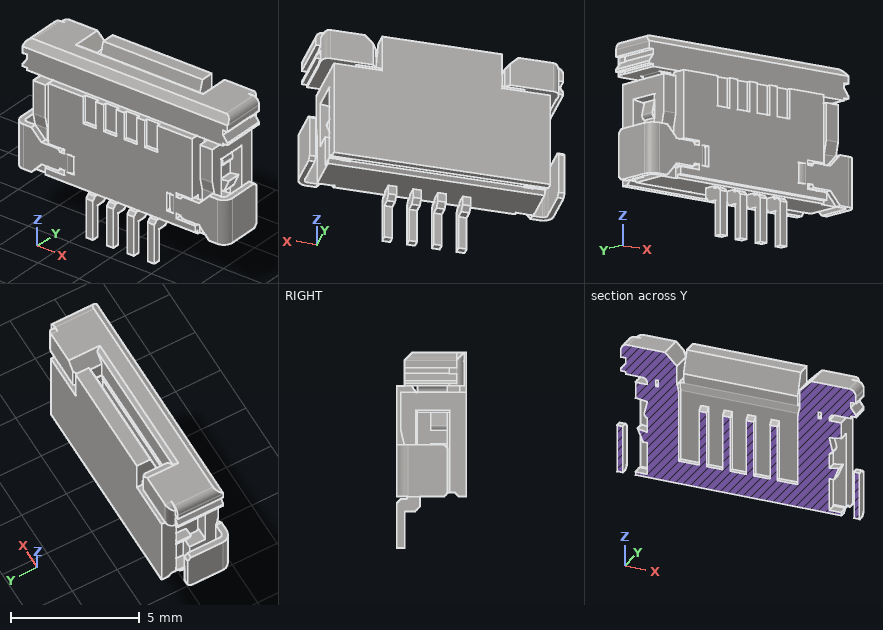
import cadquery as cq


DEPTH = 2.7
PIN_DROP = 2.0
TOP_Z = 5.6
OVERLAP = 0.3

PITCH = 1.0
PIN_COUNT = 4
PIN_WIDTH = 0.33
PIN_BACK_Y = 0.91
PIN_KNEE_Z = -0.58
PIN_KNEE_CHAMFER = 0.2
PIN_THICKNESS = 0.32
PIN_SHOULDER_Z = -0.09
PIN_SHOULDER_Y = 0.38
PIN_ROOT_Y = 0.43
PIN_BEND_CHAMFER = 0.15
CONTACT_TOP_Z = 3.5
CONTACT_REACH = 0.17

SHOULDER_HALF = 4.37
SHOULDER_TOP_Z = 4.05
SHOULDER_FRONT_Y = 0.16
SHOULDER_FOOT_Y = 0.29
SHOULDER_SLOPE_TOP_Z = 2.57
SHOULDER_SLOPE_BOTTOM_Z = 2.02
PLATE_HALF = 3.5
PLATE_BACK_Y = 0.75
PLATE_TOP_Y = 0.59
PLATE_FOOT_HALF = 3.66
PLATE_FOOT_Z = 0.13
FOOT_SETBACK = 0.17
SLOT_OUTER_HALF = 3.77
GROOVE_WIDTH = 0.62
GROOVE_DEPTH = 0.15
GROOVE_BOTTOM_Z = 3.1
RIM_HALF = 3.4
RIM_BACK_Y = 2.45
WINDOW_FRONT_Y = 0.74
WINDOW_BACK_Y = 2.05
ARCH_HEIGHT = 0.155
WINDOW_BOTTOM_Z = ARCH_HEIGHT
WINDOW_TOP_Z = 3.35
WINDOW_INNER_TOP_Z = 3.28
LEDGE_BACK_Y = 1.45
LEDGE_TOP_Z = 1.43
ARCH_BACK_Y = 2.41
ARCH_FRONT_Y = 1.84

TONGUE_HALF = 2.42
TONGUE_TOP_Y = 2.1
TONGUE_FRONT_Y = 1.8
TONGUE_SLOPE_BOTTOM_Z = 4.7
CAVITY_HALF = 2.52
CAVITY_FRONT_Y = 1.42
CAVITY_FLARE = 0.06
CAVITY_BACK_Y = TONGUE_FRONT_Y - CAVITY_FLARE
CAVITY_FLARE_BOTTOM_Z = 4.0
CAVITY_FLOOR_Z = 1.0

SLIDER_HALF = 5.0
SLIDER_BOTTOM_Z = 4.3
SLIDER_FRONT_Y = 0.3
SLIDER_STEP_Y = 2.33
SLIDER_BACK_Y = 2.62
SLIDER_EDGE = 0.3
SLIDER_REAR_HALF = 4.8
GRIP_HALF = 4.78
GRIP_TOP_Z = 5.0
GRIP_RAMP_TOP_Z = 4.8
GRIP_RAMP_BOTTOM_Z = 4.5
GRIP_LIP_Z = 4.4
NOTCH_TOP_HALF = 3.1
NOTCH_HALF = 2.6
NOTCH_LIP_Y = 1.23
NOTCH_LIP_DROP = 0.12

ARM_HALF = 3.87
ARM_FRONT_Y = 0.8
ARM_BACK_Y = 1.96
ARM_ROOT_RADIUS = 0.2
LATCH_FRONT_Y = 1.33
LATCH_TOP_Z = 2.05
LATCH_ROOT_Z = 1.98
LATCH_BOTTOM_Z = 1.5
LATCH_REACH = 0.42
LATCH_FOOT_REACH = 0.18
BUMP_TOP_Z = 3.3
BUMP_CREST_Z = 2.77
BUMP_BOTTOM_Z = 2.57
BUMP_REACH = 0.13

CLIP_HALF = 5.15
CLIP_THICKNESS = 0.25
CLIP_TOP_Z = 2.02
CLIP_BACK_Y = 1.98
CLIP_RADIUS = 0.42
CLIP_BACK_CHAMFER = 0.15
CLIP_FLARE_OUTER_HALF = 4.33
CLIP_FLARE_INNER_HALF = 3.84
CLIP_ARM_TOP_Z = 1.52
CLIP_ARM_BOTTOM_Z = 0.53
CLIP_NECK_OUTER_HALF = 3.02
CLIP_NECK_INNER_HALF = 2.94
CLIP_NECK_INSET = 0.12
POCKET_INNER_HALF = 2.72
POCKET_TOP_Z = 1.58
POCKET_BOTTOM_Z = 0.43
POCKET_DEPTH = 0.4
PEEP_OUTER_HALF = 2.58
PEEP_INNER_HALF = 2.26
PEEP_TOP_Z = 1.43
PEEP_BOTTOM_Z = 0.62

CONTACT_X = [(i - (PIN_COUNT - 1) / 2) * PITCH for i in range(PIN_COUNT)]


def box(x0, x1, y0, y1, z0, z1):
    return cq.Workplane("XY").box(x1 - x0, y1 - y0, z1 - z0, centered=False).translate((x0, y0, z0))


def centered_box(half, y0, y1, z0, z1):
    return box(-half, half, y0, y1, z0, z1)


def side_profile(points, x0, x1):
    """Prism along X from a list of (y, z) points."""
    return cq.Workplane("YZ").workplane(offset=x0).polyline(points).close().extrude(x1 - x0)


def front_profile(points, y0, y1):
    """Prism along Y from a list of (x, z) points."""
    return cq.Workplane("XZ", origin=(0, y0, 0)).polyline(points).close().extrude(y0 - y1)


def with_mirror(right_half):
    """Full outline from the (x, z) points of its right half."""
    return right_half + [(-x, z) for x, z in reversed(right_half)]


def both_sides(piece):
    return piece.union(piece.mirror("YZ"))


def shoulders():
    profile = [
        (SHOULDER_FRONT_Y, SHOULDER_TOP_Z),
        (SHOULDER_FRONT_Y, SHOULDER_SLOPE_TOP_Z),
        (SHOULDER_FOOT_Y, SHOULDER_SLOPE_BOTTOM_Z),
        (SHOULDER_FOOT_Y, 0),
        (DEPTH, 0),
        (DEPTH, SHOULDER_TOP_Z),
    ]
    return side_profile(profile, -SHOULDER_HALF, SHOULDER_HALF)


def side_openings():
    """Side windows and the slots that part the front plate from the shoulders."""
    section = [
        (PLATE_HALF, WINDOW_BOTTOM_Z),
        (SHOULDER_HALF, WINDOW_BOTTOM_Z),
        (SHOULDER_HALF, WINDOW_TOP_Z),
        (ARM_HALF, WINDOW_INNER_TOP_Z),
        (PLATE_HALF, WINDOW_INNER_TOP_Z),
    ]
    window = front_profile(section, WINDOW_FRONT_Y, WINDOW_BACK_Y)
    ledge = box(
        PLATE_HALF, SHOULDER_HALF, WINDOW_FRONT_Y, LEDGE_BACK_Y, WINDOW_BOTTOM_Z, LEDGE_TOP_Z
    )
    window = window.cut(ledge)
    slot = box(PLATE_HALF, SLOT_OUTER_HALF, 0, ARM_FRONT_Y, POCKET_BOTTOM_Z, SLIDER_BOTTOM_Z)
    return both_sides(window.union(slot))


def front_plate():
    profile = [
        (0, PLATE_FOOT_Z),
        (0, SLIDER_BOTTOM_Z),
        (PLATE_TOP_Y, SLIDER_BOTTOM_Z),
        (PLATE_BACK_Y, SHOULDER_TOP_Z),
        (PLATE_BACK_Y, 0),
        (FOOT_SETBACK, 0),
        (FOOT_SETBACK, PLATE_FOOT_Z),
    ]
    plate = side_profile(profile, -PLATE_HALF, PLATE_HALF)
    for x in CONTACT_X:
        groove = box(
            x - GROOVE_WIDTH / 2, x + GROOVE_WIDTH / 2, 0, GROOVE_DEPTH, GROOVE_BOTTOM_Z, SLIDER_BOTTOM_Z
        )
        plate = plate.cut(groove)
    foot = centered_box(PLATE_FOOT_HALF, 0, PLATE_BACK_Y, PLATE_FOOT_Z, POCKET_BOTTOM_Z)
    sill = centered_box(PLATE_FOOT_HALF, FOOT_SETBACK, PLATE_BACK_Y, 0, PLATE_FOOT_Z)
    pocket = box(
        POCKET_INNER_HALF, SLOT_OUTER_HALF, 0, POCKET_DEPTH, POCKET_BOTTOM_Z, POCKET_TOP_Z
    )
    return plate.union(foot).union(sill).cut(both_sides(pocket)).cut(peep_holes())


def peep_holes():
    """Openings over the inward-curving ends of the clips."""
    radius = PEEP_OUTER_HALF - PEEP_INNER_HALF
    hole = box(PEEP_INNER_HALF, PEEP_OUTER_HALF, 0, radius, PEEP_BOTTOM_Z, PEEP_TOP_Z)
    bend = (
        cq.Workplane("XY", origin=(PEEP_OUTER_HALF, radius, PEEP_BOTTOM_Z))
        .circle(radius)
        .extrude(PEEP_TOP_Z - PEEP_BOTTOM_Z)
    )
    return both_sides(hole.cut(bend))


def underside_arch():
    profile = [
        (ARCH_BACK_Y, 0),
        (ARCH_BACK_Y - ARCH_HEIGHT, ARCH_HEIGHT),
        (ARCH_FRONT_Y + ARCH_HEIGHT, ARCH_HEIGHT),
        (ARCH_FRONT_Y, 0),
    ]
    return side_profile(profile, -SHOULDER_HALF, SHOULDER_HALF)


def tongue():
    profile = [
        (DEPTH, TOP_Z),
        (TONGUE_TOP_Y, TOP_Z),
        (TONGUE_FRONT_Y, TONGUE_SLOPE_BOTTOM_Z),
        (TONGUE_FRONT_Y, SLIDER_BOTTOM_Z - OVERLAP),
        (DEPTH, SLIDER_BOTTOM_Z - OVERLAP),
    ]
    return side_profile(profile, -TONGUE_HALF, TONGUE_HALF)


def cable_cavity():
    """Cable slot whose back and end walls lean outward at the mouth."""
    mouth_half = CAVITY_HALF + CAVITY_FLARE
    back = [
        (CAVITY_FRONT_Y, SLIDER_BOTTOM_Z),
        (TONGUE_FRONT_Y, SLIDER_BOTTOM_Z),
        (CAVITY_BACK_Y, CAVITY_FLARE_BOTTOM_Z),
        (CAVITY_BACK_Y, CAVITY_FLOOR_Z),
        (CAVITY_FRONT_Y, CAVITY_FLOOR_Z),
    ]
    end = [
        (mouth_half, SLIDER_BOTTOM_Z),
        (CAVITY_HALF, CAVITY_FLARE_BOTTOM_Z),
        (CAVITY_HALF, CAVITY_FLOOR_Z),
    ]
    depthwise = side_profile(back, -mouth_half, mouth_half)
    return depthwise.intersect(front_profile(with_mirror(end), CAVITY_FRONT_Y, TONGUE_FRONT_Y))


def contact(x):
    profile = [
        (CAVITY_BACK_Y, CONTACT_TOP_Z),
        (CAVITY_BACK_Y - CONTACT_REACH, CONTACT_TOP_Z - CONTACT_REACH),
        (CAVITY_BACK_Y - CONTACT_REACH, CAVITY_FLOOR_Z),
        (CAVITY_BACK_Y, CAVITY_FLOOR_Z),
    ]
    return side_profile(profile, x - PIN_WIDTH / 2, x + PIN_WIDTH / 2)


def pin(x):
    profile = [
        (PIN_BACK_Y, OVERLAP),
        (PIN_BACK_Y, PIN_KNEE_Z + PIN_KNEE_CHAMFER),
        (PIN_BACK_Y - PIN_KNEE_CHAMFER, PIN_KNEE_Z),
        (PIN_THICKNESS, PIN_KNEE_Z),
        (PIN_THICKNESS, -PIN_DROP),
        (0, -PIN_DROP),
        (0, PIN_SHOULDER_Z - PIN_BEND_CHAMFER),
        (PIN_BEND_CHAMFER, PIN_SHOULDER_Z),
        (PIN_SHOULDER_Y, PIN_SHOULDER_Z),
        (PIN_ROOT_Y, 0),
        (PIN_ROOT_Y, OVERLAP),
    ]
    return side_profile(profile, x - PIN_WIDTH / 2, x + PIN_WIDTH / 2)


def housing():
    rim = centered_box(RIM_HALF, CAVITY_FRONT_Y, RIM_BACK_Y, SHOULDER_TOP_Z, SLIDER_BOTTOM_Z)
    body = shoulders().cut(side_openings())
    body = body.cut(centered_box(PLATE_HALF, 0, PLATE_BACK_Y, 0, SHOULDER_TOP_Z))
    body = body.union(front_plate()).cut(underside_arch())
    return body.union(rim).union(tongue()).cut(cable_cavity())


def slider_bar():
    right_edge = [
        (SLIDER_HALF, TOP_Z),
        (SLIDER_HALF, GRIP_TOP_Z),
        (GRIP_HALF, GRIP_TOP_Z),
        (GRIP_HALF, GRIP_RAMP_TOP_Z),
        (SLIDER_HALF, GRIP_RAMP_BOTTOM_Z),
        (SLIDER_HALF, GRIP_LIP_Z),
        (GRIP_HALF, GRIP_LIP_Z),
        (GRIP_HALF, SLIDER_BOTTOM_Z),
    ]
    bar = front_profile(with_mirror(right_edge), SLIDER_FRONT_Y, SLIDER_STEP_Y)
    bar = bar.edges("|Y").edges(">Z").fillet(SLIDER_EDGE)
    bevel = [
        (SLIDER_FRONT_Y, TOP_Z),
        (SLIDER_FRONT_Y + SLIDER_EDGE, TOP_Z),
        (SLIDER_FRONT_Y, TOP_Z - SLIDER_EDGE),
    ]
    bar = bar.cut(side_profile(bevel, -SLIDER_HALF, SLIDER_HALF))

    rear_front_y = SLIDER_STEP_Y - OVERLAP
    rear = centered_box(SLIDER_REAR_HALF, rear_front_y, SLIDER_BACK_Y, SLIDER_BOTTOM_Z, TOP_Z)
    rounded_rear = (
        rear.edges("|Z").edges(">Y").fillet(SLIDER_EDGE)
        .intersect(rear.edges("|Y").edges(">Z").fillet(SLIDER_EDGE))
    )
    return bar.union(rounded_rear).cut(slider_notch())


def slider_notch():
    """Opening for the tongue and cable: flared flanks, a bevelled lip and bevelled rear corners."""
    flare = NOTCH_TOP_HALF - NOTCH_HALF
    flank = [
        (NOTCH_TOP_HALF, TOP_Z),
        (NOTCH_HALF, TOP_Z - flare),
        (NOTCH_HALF, SLIDER_BOTTOM_Z),
    ]
    opening = front_profile(with_mirror(flank), NOTCH_LIP_Y, DEPTH)
    lip = [
        (NOTCH_LIP_Y, TOP_Z),
        (CAVITY_FRONT_Y, TOP_Z - NOTCH_LIP_DROP),
        (CAVITY_FRONT_Y, SLIDER_BOTTOM_Z),
        (NOTCH_LIP_Y, SLIDER_BOTTOM_Z),
    ]
    opening = opening.cut(side_profile(lip, -NOTCH_TOP_HALF, NOTCH_TOP_HALF))
    bevel = SLIDER_BACK_Y - RIM_BACK_Y
    rear_corner = (
        cq.Workplane("XY", origin=(NOTCH_HALF, SLIDER_BACK_Y, SLIDER_BOTTOM_Z))
        .polyline([(0, 0), (bevel, 0), (0, -bevel)]).close()
        .extrude(TOP_Z - SLIDER_BOTTOM_Z)
    )
    return opening.union(both_sides(rear_corner))


def slider_arm():
    arm = box(PLATE_HALF, ARM_HALF, ARM_FRONT_Y, ARM_BACK_Y, WINDOW_BOTTOM_Z, SLIDER_BOTTOM_Z)
    root = (
        cq.Workplane("XZ", origin=(ARM_HALF, ARM_FRONT_Y, SLIDER_BOTTOM_Z))
        .lineTo(ARM_ROOT_RADIUS, 0)
        .radiusArc((0, -ARM_ROOT_RADIUS), -ARM_ROOT_RADIUS)
        .close()
        .extrude(ARM_FRONT_Y - ARM_BACK_Y)
    )
    latch = front_profile(
        [
            (ARM_HALF, LATCH_ROOT_Z),
            (ARM_HALF + LATCH_REACH, LATCH_TOP_Z),
            (ARM_HALF + LATCH_FOOT_REACH, LATCH_BOTTOM_Z),
            (ARM_HALF, LATCH_BOTTOM_Z),
        ],
        LATCH_FRONT_Y,
        ARM_BACK_Y,
    )
    bump = (
        cq.Workplane("XZ", origin=(0, LATCH_FRONT_Y, 0))
        .moveTo(ARM_HALF, BUMP_TOP_Z)
        .lineTo(ARM_HALF + BUMP_REACH, BUMP_CREST_Z)
        .radiusArc((ARM_HALF, BUMP_BOTTOM_Z), BUMP_CREST_Z - BUMP_BOTTOM_Z)
        .close()
        .extrude(LATCH_FRONT_Y - ARM_BACK_Y)
    )
    return arm.union(root).union(latch).union(bump)


def clip():
    """Right-hand solder clip: a side wall bent round to a tapered arm held in the front plate."""
    outer = centered_box(CLIP_HALF, 0, CLIP_BACK_Y, 0, CLIP_TOP_Z)
    outer = outer.edges("|Z").edges("<Y").fillet(CLIP_RADIUS)
    inner_half = CLIP_HALF - CLIP_THICKNESS
    inner = centered_box(inner_half, CLIP_THICKNESS, CLIP_BACK_Y, 0, CLIP_TOP_Z)
    inner = inner.edges("|Z").edges("<Y").fillet(CLIP_RADIUS - CLIP_THICKNESS)
    bent_strip = outer.cut(inner)

    upper_edge = [
        (CLIP_HALF, CLIP_TOP_Z),
        (CLIP_FLARE_OUTER_HALF, CLIP_TOP_Z),
        (CLIP_FLARE_INNER_HALF, CLIP_ARM_TOP_Z),
        (CLIP_NECK_OUTER_HALF, CLIP_ARM_TOP_Z),
        (CLIP_NECK_INNER_HALF, CLIP_ARM_TOP_Z - CLIP_NECK_INSET),
        (PEEP_OUTER_HALF, CLIP_ARM_TOP_Z - CLIP_NECK_INSET),
    ]
    lower_edge = [
        (PEEP_OUTER_HALF, CLIP_ARM_BOTTOM_Z + CLIP_NECK_INSET),
        (CLIP_NECK_INNER_HALF, CLIP_ARM_BOTTOM_Z + CLIP_NECK_INSET),
        (CLIP_NECK_OUTER_HALF, CLIP_ARM_BOTTOM_Z),
        (CLIP_FLARE_INNER_HALF, CLIP_ARM_BOTTOM_Z),
        (CLIP_FLARE_OUTER_HALF, 0),
        (CLIP_HALF, 0),
    ]
    trimmed = bent_strip.intersect(front_profile(upper_edge + lower_edge, 0, CLIP_BACK_Y))
    return trimmed.edges("|X").edges(">Y").chamfer(CLIP_BACK_CHAMFER)


result = housing().union(slider_bar())
result = result.union(both_sides(slider_arm())).union(both_sides(clip()))
for contact_x in CONTACT_X:
    result = result.union(contact(contact_x)).union(pin(contact_x))